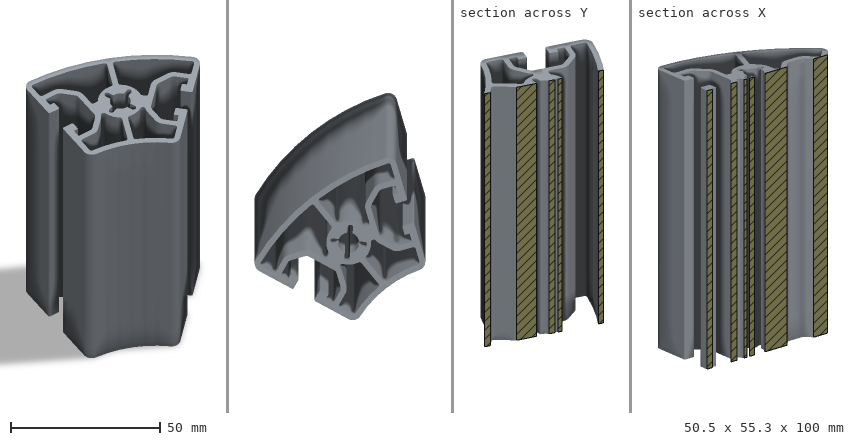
import cadquery as cq
import math

length = 100.0
bend_angle = 45.0
inner_radius = 40.0
outer_radius = 80.0
corner_radius = 3.0
wall = 2.0

mid_radius = (inner_radius + outer_radius) / 2
mid_angle = 180.0 - bend_angle / 2

slot_opening = 8.0
slot_width = 20.0
slot_depth = 12.4
slot_bevel = 4.5
lip_width = 3.2
lip_height = 4.2
face_thickness = 2.5
lip_edge_radius = 0.5
mouth_overcut = 1.0
slot_corner_radius = 2.0
recess_corner_radius = 0.4
web_corner_radius = slot_corner_radius + wall

core_radius = 7.5
bore_radius = 3.5
relief_count = 4
relief_offset_angle = 45.0
relief_width = 1.8
relief_reach = 6.2

neck_start = -59.5
neck_end = -54.2

chamber_corner_radius = 0.8


def polar(radius, angle):
    """Point at a radius and an angle in degrees around the bend axis."""
    return (radius * math.cos(math.radians(angle)), radius * math.sin(math.radians(angle)))


core_center = polar(mid_radius, mid_angle)


def mirrored(shape):
    """Reflect a shape drawn for the flat lower face onto the slanted upper face."""
    return shape.mirror("XZ").rotate((0, 0, 0), (0, 0, 1), -bend_angle)


def both_faces(shape):
    """Join a shape drawn for the lower face with its copy for the upper face."""
    return shape.union(mirrored(shape))


def sector(inset):
    """Ring sector between the two radial faces, with every side moved inwards by inset."""
    inner = inner_radius + inset
    outer = outer_radius - inset

    def ends(radius):
        shift = math.degrees(math.asin(inset / radius))
        return (
            polar(radius, 180.0 - shift),
            polar(radius, mid_angle),
            polar(radius, 180.0 - bend_angle + shift),
        )

    outer_low, outer_mid, outer_high = ends(outer)
    inner_low, inner_mid, inner_high = ends(inner)
    return (
        cq.Workplane("XY")
        .moveTo(*outer_low)
        .threePointArc(outer_mid, outer_high)
        .lineTo(*inner_high)
        .threePointArc(inner_mid, inner_low)
        .close()
        .extrude(length)
    )


def box(x_start, x_end, y_start, y_end):
    """Full-length bar of rectangular section."""
    return (
        cq.Workplane("XY")
        .moveTo(x_start, y_start)
        .lineTo(x_end, y_start)
        .lineTo(x_end, y_end)
        .lineTo(x_start, y_end)
        .close()
        .extrude(length)
    )


def bevelled_block(half_width, base, top, bevel, radius):
    """Block centred on a slot, with both corners of its deep end bevelled at 45 degrees and rounded."""
    block = box(-mid_radius - half_width, -mid_radius + half_width, base, top)
    block = block.faces(">Y").edges("|Z").chamfer(bevel)
    return block.edges("|Z").edges("not <Y").fillet(radius)


def slot_web():
    """Outside of the wall wrapped around a slot."""
    outer_bevel = slot_bevel + wall * (2 - math.sqrt(2))
    return bevelled_block(slot_width / 2 + wall, 0, slot_depth + wall, outer_bevel, web_corner_radius)


def lip(side):
    """Retaining lip on one side (-1 or 1) of a slot mouth, rounded where it faces the mouth."""
    mouth_edge = -mid_radius + side * slot_opening / 2
    blank = box(mouth_edge, mouth_edge + side * lip_width, 0, lip_height)
    mouth_face = blank.faces("<X" if side > 0 else ">X")
    return mouth_face.edges("|Z").fillet(lip_edge_radius)


def slot_cut():
    """Hollow of a slot: bevelled space and open mouth, less the two lips."""
    half_mouth = slot_opening / 2 + lip_width
    space = bevelled_block(slot_width / 2, face_thickness, slot_depth, slot_bevel, slot_corner_radius)
    space = space.faces("<Y").edges("|Z").fillet(recess_corner_radius)
    mouth = box(-mid_radius - half_mouth, -mid_radius + half_mouth, -mouth_overcut, lip_height)
    return space.union(mouth).cut(lip(-1)).cut(lip(1))


def core_bar(radius):
    """Full-length round bar on the core axis."""
    return cq.Workplane("XY").center(*core_center).circle(radius).extrude(length)


def bore():
    """Screw bore with round-ended chip reliefs spaced evenly around it."""
    cut = core_bar(bore_radius)
    relief = (
        cq.Workplane("XY")
        .center(relief_reach / 2, 0)
        .slot2D(relief_reach, relief_width)
        .extrude(length)
    )
    for index in range(relief_count):
        angle = mid_angle + relief_offset_angle + index * 360.0 / relief_count
        turned = relief.rotate((0, 0, 0), (0, 0, 1), angle)
        cut = cut.union(turned.translate((*core_center, 0)))
    return cut


def chambers():
    """The four closed hollows left between the skin, slot webs, core, necks and rib."""
    core_height = core_center[1]
    rib = box(-outer_radius, -inner_radius, -wall / 2, wall / 2)
    rib = rib.rotate((0, 0, 0), (0, 0, 1), mid_angle - 180.0)
    neck = box(neck_start, neck_end, slot_depth, core_height)
    filled = both_faces(slot_web().union(neck)).union(rib).union(core_bar(core_radius))
    hollows = sector(wall).cut(filled)
    outlines = cq.Workplane("XY").newObject(hollows.faces("<Z").wires().vals()).toPending()
    return outlines.offset2D(-chamber_corner_radius).offset2D(chamber_corner_radius).extrude(length)


body = sector(0).edges("|Z").fillet(corner_radius)
result = body.cut(chambers()).cut(both_faces(slot_cut())).cut(bore())